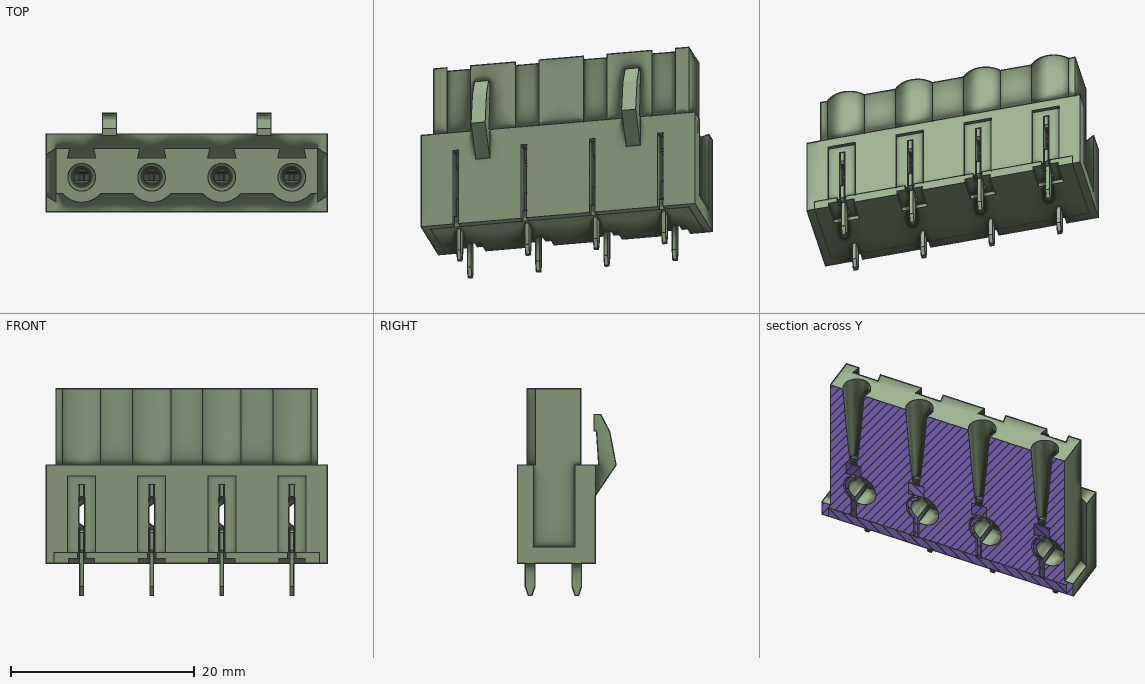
import cadquery as cq


poles = 4
pitch = 7.62
pole_x = [(i - (poles - 1) / 2) * pitch for i in range(poles)]

base_length = 30.58
base_depth = 8.5
base_height = 10.7
total_height = 19.0
block_half_length = 14.25
block_front = 2.0
block_back = 6.92

socket_y = 3.78
lobe_radius = 2.73
socket_radius = 1.5
throat_radius = 0.87
throat_length = 0.3

keyway_depth = 1.03
keyway_mouth_half = 1.31
keyway_root_half = 1.53

pocket_floor = 1.8
pocket_inner_front = 1.1
pocket_inner_back = block_back
pocket_outer_front = 1.75
pocket_outer_back = 6.25

recess_width = 3.05
recess_depth = 0.3
recess_top = 9.5
slot_width = 0.62
slot_top = 8.6

latch_x = 8.4
latch_width = 1.57
latch_reach = 10.75
latch_top = 16.2
latch_root = 7.37
latch_knee_y = 10.06
latch_knee_z = 14.3
latch_tip_back = 9.08
latch_nose_y = 8.33
latch_nose_z = 14.37
latch_neck_top_y = 8.6
latch_neck_foot_y = 8.84

plate_half_length = 14.43
plate_depth = 7.6
plate_height = 1.2
relief_width = 2.84
relief_height = 0.55
relief_depth = 2.5
leg_slot_width = 0.96

contact_thickness = 0.42
contact_centre_y = 3.93
leg_spacing = 5.08
leg_width = 1.07
leg_length = 3.5
leg_taper = 1.0
leg_tip_width = 0.4
ear_front = 0.35
ear_bevel = 0.25
contact_top = slot_top
fork_gap = 0.76
fork_lead_in = 0.26
head_width = 1.8
head_front = 2.6
head_bottom = 7.1

bow_offset_x = 0.75
bow_z = 5.27
bow_outer_radius = 1.8
bow_inner_radius = 1.35
bow_front = 2.0
flat_reach = 1.4
lower_ear_reach = 1.9
upper_ear_reach = 2.0
chamber_clearance = 0.13

leg_front = contact_centre_y - leg_spacing / 2 - leg_width / 2
leg_back = leg_front + leg_width


def box(x0, x1, y0, y1, z0, z1):
    """Axis-aligned block given by its limits."""
    return cq.Workplane("XY").box(x1 - x0, y1 - y0, z1 - z0, centered=False).translate((x0, y0, z0))


def slab(x, width, y0, y1, z0, z1):
    """Block of the given width centred on x."""
    return box(x - width / 2, x + width / 2, y0, y1, z0, z1)


def extrude_side_profile(points, x, width):
    """Extrude a (Y, Z) outline along X, centred on x."""
    return cq.Workplane("YZ").polyline(points).close().extrude(width).translate((x - width / 2, 0, 0))


def y_cylinder(x, radius, y0, y1):
    """Cylinder along Y at the height of the contact bow."""
    return cq.Workplane("XZ", origin=(x, y0, bow_z)).circle(radius).extrude(y0 - y1)


def mating_block():
    block = box(-block_half_length, block_half_length, block_front, block_back, 0, total_height)
    for x in pole_x:
        lobe = cq.Workplane("XY").center(x, socket_y).circle(lobe_radius).extrude(total_height)
        lobe = lobe.intersect(slab(x, 2 * lobe_radius, 0, socket_y, 0, total_height))
        block = block.union(lobe)
    for x in pole_x:
        root_y = block_back - keyway_depth
        keyway = (
            cq.Workplane("XY", origin=(x, 0, base_height))
            .polyline([
                (-keyway_mouth_half, block_back),
                (-keyway_root_half, root_y),
                (keyway_root_half, root_y),
                (keyway_mouth_half, block_back),
            ])
            .close()
            .extrude(total_height - base_height)
        )
        block = block.cut(keyway)
    return block


def socket_hole(x):
    """Tapered entry that ends in a short throat above the contact fork."""
    profile = [
        (0, total_height),
        (socket_radius, total_height),
        (throat_radius, slot_top + throat_length),
        (throat_radius, slot_top),
        (0, slot_top),
    ]
    hole = cq.Workplane("XZ").polyline(profile).close().revolve(360, (0, 0, 0), (0, 1, 0))
    return hole.translate((x, socket_y, 0))


def end_pocket(side):
    """End pocket, wider inside than at the outer face."""
    outline = [
        (side * block_half_length, pocket_inner_front),
        (side * base_length / 2, pocket_outer_front),
        (side * base_length / 2, pocket_outer_back),
        (side * block_half_length, pocket_inner_back),
    ]
    pocket = cq.Workplane("XY", origin=(0, 0, pocket_floor)).polyline(outline).close()
    return pocket.extrude(base_height - pocket_floor)


def contact_cavity(x):
    """Slot through the housing for a contact, with room for its fork heads and bow."""
    recess = slab(x, recess_width, 0, recess_depth, 0, recess_top)
    slot = slab(x, slot_width, 0, base_depth, 0, slot_top)
    chamber_front = bow_front - chamber_clearance
    chamber_back = 2 * socket_y - chamber_front
    chamber_radius = bow_outer_radius + chamber_clearance
    chamber = y_cylinder(x + bow_offset_x, chamber_radius, chamber_front, chamber_back)
    head_back = 2 * socket_y - head_front
    head_pocket = slab(x, head_width, head_front, head_back, head_bottom, slot_top)
    return recess.union(slot).union(chamber).union(head_pocket)


def latch_hook(x):
    """Sloping hook with a kinked back and a small inward nose at its top."""
    outline = [
        (base_depth, latch_root),
        (latch_reach, base_height),
        (latch_knee_y, latch_knee_z),
        (latch_tip_back, latch_top),
        (latch_nose_y, latch_top),
        (latch_nose_y, latch_nose_z),
        (latch_neck_top_y, latch_nose_z),
        (latch_neck_foot_y, base_height),
        (base_depth, base_height),
    ]
    return extrude_side_profile(outline, x, latch_width)


def plate_blank():
    return box(-plate_half_length, plate_half_length, 0, plate_depth, 0, plate_height)


def build_housing():
    body = box(-base_length / 2, base_length / 2, 0, base_depth, 0, base_height)
    body = body.union(mating_block())
    for side in (-1, 1):
        body = body.union(latch_hook(side * latch_x))
        body = body.cut(end_pocket(side))
    body = body.cut(plate_blank())
    for x in pole_x:
        body = body.cut(contact_cavity(x)).cut(socket_hole(x))
    return body


def build_bottom_plate():
    plate = plate_blank()
    for x in pole_x:
        front_slot = slab(x, leg_slot_width, 0, leg_back, 0, plate_height)
        relief = slab(x, relief_width, 0, relief_depth, 0, relief_height)
        rear_hole = slab(
            x, contact_thickness, leg_front + leg_spacing, leg_back + leg_spacing, 0, plate_height
        )
        plate = plate.cut(front_slot).cut(relief).cut(rear_hole)
    return plate


def contact_leg(centre_y):
    """Solder leg with a tapered tip."""
    half = leg_width / 2
    half_tip = leg_tip_width / 2
    outline = [
        (centre_y - half, plate_height),
        (centre_y - half, leg_taper - leg_length),
        (centre_y - half_tip, -leg_length),
        (centre_y + half_tip, -leg_length),
        (centre_y + half, leg_taper - leg_length),
        (centre_y + half, plate_height),
    ]
    return extrude_side_profile(outline, 0, contact_thickness)


def lower_half_arm():
    """Front half of the flat base: ear, leg root and the seat of the bow."""
    ear_top = bow_z - lower_ear_reach
    outline = [
        (leg_front, plate_height),
        (ear_front, plate_height + ear_bevel),
        (ear_front, ear_top),
        (ear_front + ear_bevel, ear_top + ear_bevel),
        (bow_front, ear_top + ear_bevel),
        (bow_front, bow_z - flat_reach),
        (socket_y, bow_z - flat_reach),
        (socket_y, plate_height),
    ]
    return extrude_side_profile(outline, 0, contact_thickness)


def upper_half_arm():
    """Upper end of the front arm: a flat ear and a wide fork head with a lead-in for the mating pin."""
    gap_front = socket_y - fork_gap / 2
    ear_bottom = bow_z + upper_ear_reach
    ear_outline = [
        (ear_front, contact_top),
        (head_front, contact_top),
        (head_front, bow_z + flat_reach),
        (bow_front, bow_z + flat_reach),
        (bow_front, ear_bottom - ear_bevel),
        (ear_front + ear_bevel, ear_bottom - ear_bevel),
        (ear_front, ear_bottom),
    ]
    head_outline = [
        (head_front, contact_top),
        (gap_front - fork_lead_in, contact_top),
        (gap_front, contact_top - fork_lead_in),
        (gap_front, head_bottom),
        (head_front, head_bottom),
    ]
    ear = extrude_side_profile(ear_outline, 0, contact_thickness)
    return ear.union(extrude_side_profile(head_outline, 0, head_width))


def arm_bow():
    """Front half of the curved strip that joins the lower and upper flats."""
    ring = y_cylinder(bow_offset_x, bow_outer_radius, bow_front, socket_y)
    ring = ring.cut(y_cylinder(bow_offset_x, bow_inner_radius, bow_front, socket_y))
    bow_side = box(
        bow_offset_x - bow_outer_radius, contact_thickness / 2,
        bow_front, socket_y,
        bow_z - bow_outer_radius, bow_z + bow_outer_radius,
    )
    return ring.intersect(bow_side)


def build_contact(x):
    front_arm = lower_half_arm().union(arm_bow()).union(upper_half_arm())
    back_arm = front_arm.mirror("XZ", (0, socket_y, 0))
    contact = front_arm.union(back_arm)
    for side in (-1, 1):
        contact = contact.union(contact_leg(contact_centre_y + side * leg_spacing / 2))
    return contact.translate((x, 0, 0))


housing = build_housing()
bottom_plate = build_bottom_plate()
contacts = [build_contact(x) for x in pole_x]

result = cq.Compound.makeCompound(
    [housing.val(), bottom_plate.val(), *[contact.val() for contact in contacts]]
)